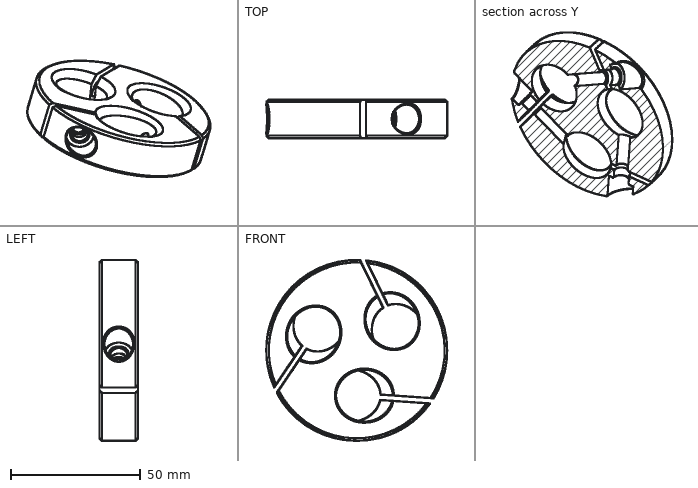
import cadquery as cq
import math

disc_diameter = 70.0
disc_thickness = 15.0
disc_chamfer = 1.0

bore_count = 3
bore_diameter = 20.0
bore_circle_radius = 17.5
bore_tilt = 23.0
bore_front_chamfer = 0.5
bore_back_chamfer = 2.5

slit_width = 2.0
slit_angle = -4.0

screw_offset = 16.0
seat_distance = 5.3
head_diameter = 11.0
head_mouth_chamfer = 0.5
clearance_diameter = 6.6
clearance_chamfer = 0.5
tap_diameter = 5.0
tap_chamfer = 0.6
tap_depth = 22.0

disc_radius = disc_diameter / 2
bore_pitch_angle = 360 / bore_count
half_slit = slit_width / 2
rim_tolerance = 0.001

bore_radius = bore_diameter / 2
tilt = math.radians(bore_tilt)
bore_axis = cq.Vector(-math.sin(tilt), math.cos(tilt), 0)
bore_sideways = cq.Vector(math.cos(tilt), math.sin(tilt), 0)

bore_centre = cq.Vector(0, 0, -bore_circle_radius)
slit_turn = math.radians(slit_angle)
slit_direction = cq.Vector(math.cos(slit_turn), 0, math.sin(slit_turn))
screw_direction = cq.Vector(-slit_direction.z, 0, slit_direction.x)
screw_centre = bore_centre + slit_direction * screw_offset


def around_disc(shape):
    """Return one copy of the shape for each bore, spaced evenly about the disc axis."""
    origin = cq.Vector(0, 0, 0)
    y_axis = cq.Vector(0, 1, 0)
    return [shape.rotate(origin, y_axis, i * bore_pitch_angle) for i in range(bore_count)]


def screw_cylinder(diameter, start, end):
    """Cylinder on the screw axis, between two distances from the middle of the slit."""
    base = screw_centre + screw_direction * start
    return cq.Solid.makeCylinder(diameter / 2, end - start, base, screw_direction)


def screw_countersink(diameter, chamfer, start):
    """45 degree entry cone narrowing to the given hole diameter along the screw axis."""
    base = screw_centre + screw_direction * start
    radius = diameter / 2
    return cq.Solid.makeCone(radius + chamfer, radius, chamfer, base, screw_direction)


def make_disc():
    disc = cq.Workplane("XZ", origin=(0, disc_thickness / 2, 0)).circle(disc_radius).extrude(disc_thickness)
    return disc.faces("<Y or >Y").edges().chamfer(disc_chamfer)


def make_bore():
    length = 2 * disc_thickness
    return cq.Solid.makeCylinder(bore_radius, length, bore_centre - bore_axis * (length / 2), bore_axis)


def make_bore_mouth(face_side, chamfer):
    """Chamfer cutter for one end of the bore: face_side is -1 for the -Y face and 1 for the +Y face.

    Its setbacks are those of a ball of the chamfer radius rolled along the mouth, so they are longer
    where bore and face meet at an acute angle. The ball touches face and bore along two ellipses.
    """
    face_y = face_side * disc_thickness / 2
    ball_y = face_y - face_side * chamfer
    ball_path_radius = bore_radius + chamfer
    ball_path_centre = bore_centre + bore_axis * (ball_y / math.cos(tilt))

    face_ellipse = cq.Wire.makeEllipse(
        ball_path_radius / math.cos(tilt),
        ball_path_radius,
        cq.Vector(ball_path_centre.x, face_y, ball_path_centre.z),
        cq.Vector(0, -1, 0),
        cq.Vector(1, 0, 0),
    )
    long_axis = bore_sideways * bore_radius - bore_axis * (ball_path_radius * math.tan(tilt))
    bore_ellipse = cq.Wire.makeEllipse(
        long_axis.Length,
        bore_radius,
        ball_path_centre,
        long_axis.cross(cq.Vector(0, 0, 1)),
        long_axis,
    )
    return cq.Solid.makeLoft([face_ellipse, bore_ellipse], True)


def make_slit():
    slit = cq.Workplane("XY").box(disc_radius, 2 * disc_thickness, slit_width, centered=(False, True, True))
    return slit.rotate((0, 0, 0), (0, 1, 0), -slit_angle).translate(bore_centre).val()


def make_head_pocket():
    return screw_cylinder(head_diameter, -disc_radius, -seat_distance)


def make_screw_hole():
    clearance = screw_cylinder(clearance_diameter, -seat_distance, 0)
    clearance_entry = screw_countersink(clearance_diameter, clearance_chamfer, -seat_distance)
    tap = screw_cylinder(tap_diameter, 0, tap_depth)
    tap_entry = screw_countersink(tap_diameter, tap_chamfer, half_slit)
    return clearance.fuse(clearance_entry, tap, tap_entry)


def is_pocket_mouth(edge):
    """True for the saddle-shaped edges where the head pockets break through the rim."""
    point = edge.startPoint()
    on_rim = abs(math.hypot(point.x, point.z) - disc_radius) < rim_tolerance
    return on_rim and edge.geomType() not in ("CIRCLE", "LINE")


body = make_disc()
for bore in around_disc(make_bore()):
    body = body.cut(bore)
for face_side, chamfer in ((-1, bore_front_chamfer), (1, bore_back_chamfer)):
    for mouth in around_disc(make_bore_mouth(face_side, chamfer)):
        body = body.cut(mouth)

for pocket in around_disc(make_head_pocket()):
    body = body.cut(pocket)
mouth_edges = [edge for edge in body.edges().vals() if is_pocket_mouth(edge)]
body = body.newObject(mouth_edges).chamfer(head_mouth_chamfer)

for tool in around_disc(make_slit()) + around_disc(make_screw_hole()):
    body = body.cut(tool)

result = body